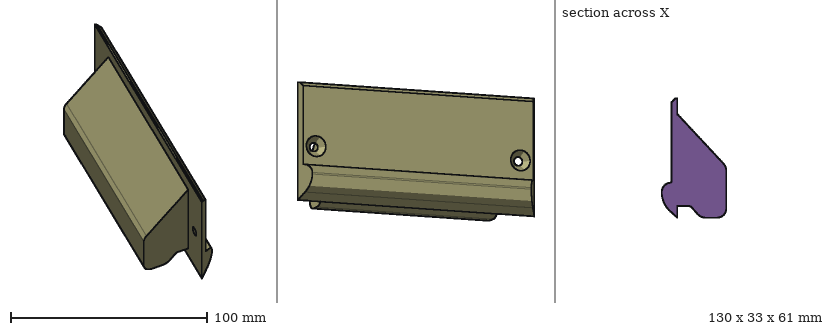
import cadquery as cq

plate_length = 130.0
plate_height = 61.0
plate_thickness = 3.1
top_bevel = 2.1

ridge_depth = 8.0
ridge_crown_z = 12.6
ridge_top_z = 18.2
ridge_ledge_drop = 0.3
ridge_ledge_y = 3.9
ridge_shoulder_y = 6.9
ridge_shoulder_z = 16.2
ridge_belly_y = 6.5
ridge_belly_z = 6.9
ridge_flat_y = 4.2
ridge_flat_z = 3.8
end_inset = 5.0

housing_length = 96.8
housing_depth = 25.0
roof_top_z = 52.9
roof_front_z = 26.1
brow_radius = 5.5
chin_radius = 4.8
step_height = 6.0
step_depth = 6.6
step_foot_depth = 12.0
step_radius = 2.0
foot_radius = 5.8

hole_diameter = 4.4
sink_diameter = 10.7
hole_spacing = 112.2
hole_z = 28.0


def extrude_along_x(profile, length):
    """Extrude a YZ profile symmetrically about the middle of the part."""
    return profile.extrude(length / 2, both=True)


def make_plate():
    profile = (
        cq.Workplane("YZ")
        .moveTo(0, 0)
        .lineTo(0, plate_height)
        .lineTo(plate_thickness - top_bevel, plate_height)
        .lineTo(plate_thickness, plate_height - top_bevel)
        .lineTo(plate_thickness, ridge_top_z)
        .lineTo(ridge_ledge_y, ridge_top_z - ridge_ledge_drop)
        .threePointArc((ridge_shoulder_y, ridge_shoulder_z), (ridge_depth, ridge_crown_z))
        .threePointArc((ridge_belly_y, ridge_belly_z), (ridge_flat_y, ridge_flat_z))
        .close()
    )
    half_length = plate_length / 2
    tapered_ends = (
        cq.Workplane("XY")
        .polyline([
            (-half_length, 0),
            (half_length, 0),
            (half_length - end_inset, ridge_depth),
            (end_inset - half_length, ridge_depth),
        ])
        .close()
        .extrude(plate_height)
    )
    return extrude_along_x(profile, plate_length).intersect(tapered_ends)


def round_edge(body, y, z, radius):
    """Fillet the lengthwise edge passing through the given Y and Z."""
    return body.edges(cq.selectors.NearestToPointSelector((0, y, z))).fillet(radius)


def make_housing():
    profile = (
        cq.Workplane("YZ")
        .polyline([
            (0, roof_top_z),
            (-housing_depth, roof_front_z),
            (-housing_depth, 0),
            (-step_foot_depth, 0),
            (-step_depth, step_height),
            (0, step_height),
        ])
        .close()
    )
    housing = extrude_along_x(profile, housing_length)
    housing = round_edge(housing, -housing_depth, roof_front_z, brow_radius)
    housing = round_edge(housing, -housing_depth, 0, chin_radius)
    housing = round_edge(housing, -step_foot_depth, 0, foot_radius)
    return round_edge(housing, -step_depth, step_height, step_radius)


def make_hole_cutter(x):
    """Through hole with a countersink opening onto the back of the plate."""
    sink_depth = (sink_diameter - hole_diameter) / 2
    hole = cq.Solid.makeCylinder(
        hole_diameter / 2, plate_thickness, cq.Vector(x, 0, hole_z), cq.Vector(0, 1, 0)
    )
    sink = cq.Solid.makeCone(
        sink_diameter / 2,
        hole_diameter / 2,
        sink_depth,
        cq.Vector(x, plate_thickness, hole_z),
        cq.Vector(0, -1, 0),
    )
    return hole.fuse(sink)


result = make_plate().union(make_housing())
for side in (-1, 1):
    result = result.cut(cq.Workplane(make_hole_cutter(side * hole_spacing / 2)))